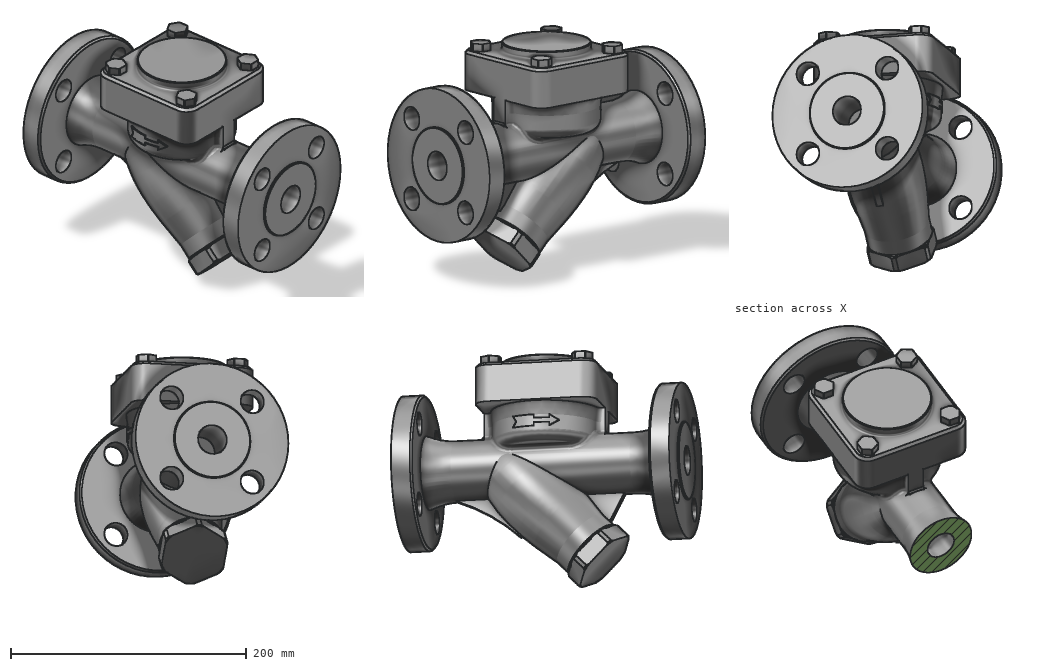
import cadquery as cq
import math

half_length = 122.5
pipe_dia = 52.5
raised_face_dia = 66.6
raised_face_chamfer = 0.7
raised_face_height = 1.5
flange_dia = 133.0
flange_thickness = 18.1
flange_edge_chamfer = 1.7
hub_dia = 63.2
hub_end_x = 78.0
bore_dia = 25.0
bore_depth = 49.0
flange_hole_dia = 20.0
flange_hole_spacing = 70.0

block_width = 105.4
block_bottom_z = 47.8
block_top_z = 82.0
block_corner_radius = 12.7
block_edge_chamfer = 2.5
bowl_dia = 92.0
bowl_rim_dia = 95.0
bowl_taper_z = 35.8
bowl_bottom_z = 14.7
bowl_bottom_radius = 8.5
bowl_pipe_fillet = 4.5
seam_margin = 0.2
rib_thickness = 14.5
rib_foot_reach = 1.5

pad_dia = 76.0
pad_base_dia = 82.3
pad_top_z = 90.2
pad_chamfer = 0.7
bolt_spacing = 79.5
bolt_flats = 16.0
bolt_corner_dia = 18.0
bolt_head_height = 6.5

arrow_z = 30.9
arrow_half_length = 20.0
arrow_notch = 3.2
arrow_tail_end_x = -1.0
arrow_head_x = 12.2
arrow_half_height = 5.0
arrow_shaft_half_height = 2.0
arrow_relief = 1.0

branch_start_x = -34.3
branch_angle = 45.0
branch_neck = 90.6
branch_profile = [(25.5, -5.0), (29.5, 7.4), (32.8, 46.5)]
neck_dia = 56.0
neck_end = 104.1
seat_dia = 52.0
plug_start = 105.4
plug_end = 120.0
plug_flats = 54.0
plug_corner_dia = 60.0
plug_chamfer = 1.1

web_thickness = 6.0
left_web_middle = (-53.7, -37.2)
left_web_tip = (-22.0, -60.3)
right_web_top_x = 68.4
right_web_tip = (56.4, -49.2)
right_web_root_x = 24.5

flange_back_x = half_length - raised_face_height - flange_thickness
pipe_radius = pipe_dia / 2


def hex_head(flats, corner_dia, height, corner_along_x=True):
    """Hexagonal prism from z = 0, with its corners turned down to corner_dia."""
    hexagon = cq.Workplane("XY").polygon(6, flats / math.cos(math.pi / 6)).extrude(height)
    if not corner_along_x:
        hexagon = hexagon.rotate((0, 0, 0), (0, 0, 1), 90)
    return hexagon.intersect(cq.Workplane("XY").circle(corner_dia / 2).extrude(height))


def flanged_end():
    """Flange, raised face and flared hub at the -X end."""
    face_x = half_length - raised_face_height
    disc = (
        cq.Workplane("YZ", origin=(-face_x, 0, 0)).circle(flange_dia / 2).extrude(flange_thickness)
        .faces(">X").edges().chamfer(flange_edge_chamfer)
    )
    raised_face = (
        cq.Workplane("YZ", origin=(-half_length, 0, 0))
        .circle(raised_face_dia / 2).extrude(raised_face_height)
        .faces("<X").edges().chamfer(raised_face_chamfer)
    )
    hub_rise = hub_dia / 2 - pipe_radius
    hub_middle = (-(hub_end_x + flange_back_x) / 2, pipe_radius + hub_rise / 4)
    hub = (
        cq.Workplane("XZ")
        .moveTo(-flange_back_x, 0)
        .lineTo(-hub_end_x, 0)
        .lineTo(-hub_end_x, pipe_radius)
        .threePointArc(hub_middle, (-flange_back_x, hub_dia / 2))
        .close()
        .revolve(360, (0, 0, 0), (1, 0, 0))
    )
    holes = (
        cq.Workplane("YZ", origin=(-face_x, 0, 0))
        .rect(flange_hole_spacing, flange_hole_spacing, forConstruction=True).vertices()
        .circle(flange_hole_dia / 2).extrude(flange_thickness)
    )
    return disc.union(raised_face).cut(holes).union(hub)


def bowl():
    """Round bowl with a flared rim and a rounded underside."""
    radius = bowl_dia / 2
    return (
        cq.Workplane("XZ")
        .moveTo(0, block_bottom_z)
        .lineTo(bowl_rim_dia / 2, block_bottom_z)
        .lineTo(radius, bowl_taper_z)
        .lineTo(radius, bowl_bottom_z + bowl_bottom_radius)
        .radiusArc((radius - bowl_bottom_radius, bowl_bottom_z), bowl_bottom_radius)
        .lineTo(0, bowl_bottom_z)
        .close()
        .revolve(360, (0, 0, 0), (0, 1, 0))
    )


def flow_arrow():
    """Arrow standing proud of the -Y side of the bowl and following its curve."""
    upper = [
        (-arrow_half_length, arrow_half_height),
        (arrow_tail_end_x, arrow_half_height),
        (arrow_tail_end_x, arrow_shaft_half_height),
        (arrow_head_x, arrow_shaft_half_height),
        (arrow_head_x, arrow_half_height),
    ]
    lower = [(x, -z) for x, z in reversed(upper)]
    notch = (-arrow_half_length + arrow_notch, 0)
    outline = upper + [(arrow_half_length, 0)] + lower + [notch]
    prism = cq.Workplane("XZ", origin=(0, 0, arrow_z)).polyline(outline).close().extrude(bowl_dia)
    skin = (
        cq.Workplane("XY", origin=(0, 0, bowl_bottom_z))
        .circle(bowl_dia / 2 + arrow_relief).circle(bowl_dia / 2 - arrow_relief)
        .extrude(block_bottom_z - bowl_bottom_z)
    )
    return prism.intersect(skin)


def block():
    """Square block with its raised round pad and four bolt heads."""
    slab = (
        cq.Workplane("XY", origin=(0, 0, block_bottom_z))
        .rect(block_width, block_width).extrude(block_top_z - block_bottom_z)
        .edges("|Z").fillet(block_corner_radius)
        .faces(">Z").edges().chamfer(block_edge_chamfer)
    )
    flare = (pad_base_dia - pad_dia) / 2
    pad = (
        cq.Workplane("XZ")
        .moveTo(0, block_top_z)
        .lineTo(pad_base_dia / 2, block_top_z)
        .radiusArc((pad_dia / 2, block_top_z + flare), flare)
        .lineTo(pad_dia / 2, pad_top_z)
        .lineTo(0, pad_top_z)
        .close()
        .revolve(360, (0, 0, 0), (0, 1, 0))
        .faces(">Z").edges().chamfer(pad_chamfer)
    )
    body = slab.union(pad)
    for side_x in (-1, 1):
        for side_y in (-1, 1):
            head = hex_head(bolt_flats, bolt_corner_dia, bolt_head_height, side_x != side_y)
            place = (side_x * bolt_spacing / 2, side_y * bolt_spacing / 2, block_top_z)
            body = body.union(head.translate(place))
    return body


def branch():
    """Strainer branch and its hexagonal plug, built along local Z and then tilted."""
    neck_radius = neck_dia / 2
    shell = (
        cq.Workplane("XZ")
        .moveTo(0, branch_profile[0][1])
        .lineTo(*branch_profile[0])
        .spline(branch_profile[1:] + [(neck_radius, branch_neck)], includeCurrent=True)
        .lineTo(neck_radius, neck_end)
        .lineTo(seat_dia / 2, neck_end)
        .lineTo(seat_dia / 2, plug_start)
        .lineTo(0, plug_start)
        .close()
        .revolve(360, (0, 0, 0), (0, 1, 0))
    )
    turned_blank = (
        cq.Workplane("XY", origin=(0, 0, plug_start))
        .circle(plug_corner_dia / 2).extrude(plug_end - plug_start)
        .edges().chamfer(plug_chamfer)
    )
    plug = (
        hex_head(plug_flats, plug_corner_dia, plug_end - plug_start)
        .translate((0, 0, plug_start)).intersect(turned_blank)
    )
    return (
        shell.union(plug)
        .rotate((0, 0, 0), (0, 1, 0), 90 + branch_angle)
        .translate((branch_start_x, 0, 0))
    )


def left_web():
    """Web hanging from the pipe and curving into the underside of the branch."""
    return (
        cq.Workplane("XZ")
        .moveTo(-hub_end_x, 0)
        .lineTo(-hub_end_x, -pipe_radius)
        .threePointArc(left_web_middle, left_web_tip)
        .lineTo(left_web_tip[0], 0)
        .close()
        .extrude(web_thickness / 2, both=True)
    )


def right_web():
    """Triangular web between the pipe and the upper side of the branch neck."""
    return (
        cq.Workplane("XZ")
        .moveTo(right_web_top_x, 0)
        .lineTo(right_web_top_x, -pipe_radius)
        .lineTo(*right_web_tip)
        .lineTo(right_web_root_x, right_web_tip[1])
        .lineTo(right_web_root_x, 0)
        .close()
        .extrude(web_thickness / 2, both=True)
    )


def rib_foot():
    """Small wedge at the foot of the +X rib, running out onto the top of the pipe."""
    edge_x = block_width / 2
    inner_x = edge_x - rib_foot_reach
    return (
        cq.Workplane("XZ")
        .moveTo(inner_x, 0)
        .lineTo(edge_x + rib_foot_reach, 0)
        .lineTo(edge_x + rib_foot_reach, pipe_radius)
        .lineTo(edge_x, pipe_radius + rib_foot_reach)
        .lineTo(inner_x, pipe_radius + rib_foot_reach)
        .close()
        .extrude(rib_thickness / 2, both=True)
    )


def pipe_and_bowl():
    """Pipe, ribs and bowl, blended together where they meet."""
    pipe = cq.Workplane("YZ", origin=(-flange_back_x, 0, 0)).circle(pipe_radius).extrude(2 * flange_back_x)
    ribs = cq.Workplane("XY").rect(block_width, rib_thickness).extrude(block_bottom_z)
    body = pipe.union(bowl()).union(ribs)

    reach_x = block_width / 2 - seam_margin
    pipe_zone = cq.selectors.BoxSelector(
        (-reach_x, -pipe_radius, 0), (reach_x, pipe_radius, pipe_radius)
    )
    rib_zone = cq.selectors.BoxSelector(
        (-reach_x, -rib_thickness, pipe_radius), (reach_x, rib_thickness, block_bottom_z - seam_margin)
    )
    pipe_seam = body.edges(pipe_zone).edges("not %CIRCLE")
    rib_seam = body.edges(rib_zone)
    return body.newObject(pipe_seam.vals() + rib_seam.vals()).fillet(bowl_pipe_fillet)


def bore():
    """Blind bore entering from the -X end."""
    return cq.Workplane("YZ", origin=(-half_length, 0, 0)).circle(bore_dia / 2).extrude(bore_depth)


left_end = flanged_end()
result = pipe_and_bowl().union(block()).union(flow_arrow()).union(branch())
result = result.union(rib_foot()).union(rib_foot().mirror("YZ"))
result = result.union(left_web()).union(right_web())
result = result.union(left_end).union(left_end.mirror("YZ"))
result = result.cut(bore()).cut(bore().mirror("YZ"))